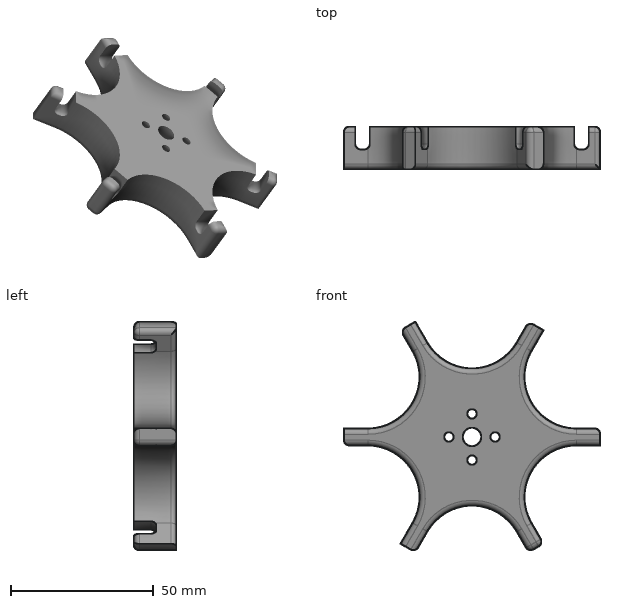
import cadquery as cq
import math

tip_radius = 44.9
thickness = 15.0
arm_count = 6
arm_width = 6.0
scallop_radius = 18.05
round_radius = 2.0

slot_width = 5.0
slot_depth = 8.0
slot_tip_wall = 4.0
slot_corner_radius = 2.0

centre_bore = 6.4
screw_hole = 3.2
screw_circle_radius = 8.1
screw_count = 4

front = -thickness / 2
back = thickness / 2
half_width = arm_width / 2
arm_angle = 360 / arm_count
scallop_distance = (scallop_radius + half_width) / math.sin(math.radians(arm_angle / 2))
scallop_bottom = scallop_distance - scallop_radius
finger_middle = tip_radius - slot_tip_wall / 2
arm_root = scallop_distance * math.cos(math.radians(arm_angle / 2))


def around(radial, sideways, angle):
    """Point in the XZ plane at a place on the arm that points along the angle."""
    turn = math.radians(angle)
    x = radial * math.cos(turn) - sideways * math.sin(turn)
    z = radial * math.sin(turn) + sideways * math.cos(turn)
    return (x, z)


def star_plate():
    """Six straight arms joined by arcs tangent to their sides."""
    outline = cq.Workplane("XZ", origin=(0, back, 0)).moveTo(*around(arm_root, -half_width, 0))
    for arm in range(arm_count):
        angle = arm * arm_angle
        next_angle = angle + arm_angle
        outline = (
            outline.lineTo(*around(tip_radius, -half_width, angle))
            .lineTo(*around(tip_radius, half_width, angle))
            .lineTo(*around(arm_root, half_width, angle))
            .threePointArc(
                around(scallop_bottom, 0, angle + arm_angle / 2),
                around(arm_root, -half_width, next_angle),
            )
        )
    return outline.close().extrude(thickness)


def near(radial, y, sideways, angle):
    """Selector for the edge whose middle is nearest to a place on an arm."""
    x, z = around(radial, sideways, angle)
    return cq.selectors.NearestToPointSelector((x, y, z))


def round_edges(body):
    """Round the front rim, the back of the fingers outside the notches and the arm end corners."""
    picked = []
    for arm in range(arm_count):
        angle = arm * arm_angle
        picked.append(near(tip_radius, 0, half_width, angle))
        picked.append(near(tip_radius, back, 0, angle))
        for side in (half_width, -half_width):
            picked.append(near((arm_root + tip_radius) / 2, front, side, angle))
            picked.append(near(finger_middle, back, side, angle))
        picked.append(near(scallop_bottom, front, 0, angle + arm_angle / 2))
    last_angle = (arm_count - 1) * arm_angle
    picked.append(near(tip_radius, 0, -half_width, last_angle))
    picked.append(near(tip_radius, front, 0, last_angle))
    found = [body.edges(selector).val() for selector in picked]
    return body.newObject(found).fillet(round_radius)


def notch(angle):
    """Square slot with rounded floor corners, open at the back face."""
    outer = tip_radius - slot_tip_wall
    cutter = (
        cq.Workplane("XY")
        .box(slot_width, slot_depth, 2 * arm_width)
        .edges("|Z and <Y")
        .fillet(slot_corner_radius)
        .translate((outer - slot_width / 2, back - slot_depth / 2, 0))
    )
    return cutter.rotate((0, 0, 0), (0, -1, 0), angle)


def hub_holes():
    """Centre bore and the ring of screw holes, all through."""
    plane = cq.Workplane("XZ", origin=(0, back, 0))
    bore = plane.circle(centre_bore / 2).extrude(thickness)
    screws = (
        plane.polarArray(screw_circle_radius, 0, 360, screw_count)
        .circle(screw_hole / 2)
        .extrude(thickness)
    )
    return bore.union(screws)


wheel = star_plate()
for arm in range(arm_count):
    wheel = wheel.cut(notch(arm * arm_angle))
wheel = round_edges(wheel)
result = wheel.cut(hub_holes())